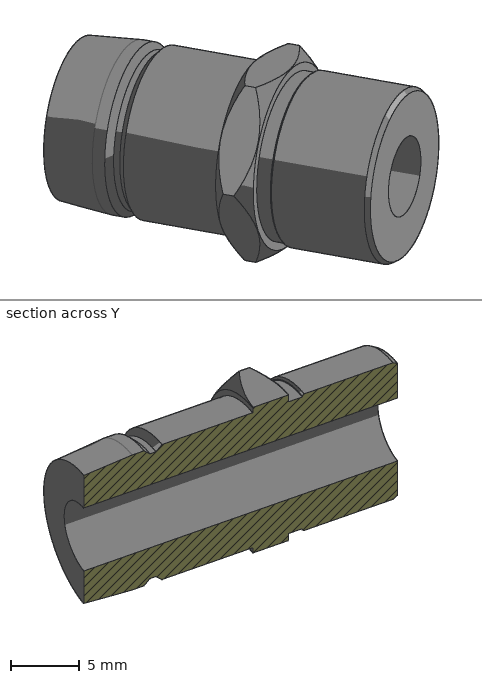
import cadquery as cq

length = 26.0
bore_diameter = 6.0

body_radius = 6.5
nose_radius = 6.15
nose_length = 4.0
groove_start = 5.0
groove_depth = 0.5
groove_floor_width = 0.5

hex_start = 14.0
hex_width = 3.0
hex_across_corners = 16.17
hex_chamfer_radius = 6.97
hex_chamfer_length = 1.07

neck_radius = 6.35
barrel_start = 18.1
barrel_radius = 6.58
barrel_front_chamfer = 0.15
barrel_rear_chamfer_length = 0.4
barrel_rear_chamfer_depth = 0.23

hex_end = hex_start + hex_width
hex_corner_radius = hex_across_corners / 2
groove_radius = body_radius - groove_depth
groove_floor_start = groove_start + groove_depth
groove_floor_end = groove_floor_start + groove_floor_width
groove_end = groove_floor_end + groove_depth


def turned_solid(profile):
    """Revolve a closed (x, radius) profile about the X axis."""
    return cq.Workplane("XZ").polyline(profile).close().revolve(360, (0, 0, 0), (1, 0, 0))


def turned_shaft():
    """Nose, grooved body, neck and chamfered barrel."""
    return turned_solid([
        (0, 0),
        (0, nose_radius),
        (nose_length, body_radius),
        (groove_start, body_radius),
        (groove_floor_start, groove_radius),
        (groove_floor_end, groove_radius),
        (groove_end, body_radius),
        (hex_start, body_radius),
        (hex_start, neck_radius),
        (barrel_start, neck_radius),
        (barrel_start, barrel_radius - barrel_front_chamfer),
        (barrel_start + barrel_front_chamfer, barrel_radius),
        (length - barrel_rear_chamfer_length, barrel_radius),
        (length, barrel_radius - barrel_rear_chamfer_depth),
        (length, 0),
    ])


def hex_collar():
    """Hexagon with flats at top and bottom, its corners turned down conically at both ends."""
    prism = (
        cq.Workplane("YZ", origin=(hex_start, 0, 0))
        .polygon(6, hex_across_corners)
        .extrude(hex_width)
    )
    envelope = turned_solid([
        (hex_start, 0),
        (hex_start, hex_chamfer_radius),
        (hex_start + hex_chamfer_length, hex_corner_radius),
        (hex_end - hex_chamfer_length, hex_corner_radius),
        (hex_end, hex_chamfer_radius),
        (hex_end, 0),
    ])
    return prism.intersect(envelope)


bore = cq.Workplane("YZ").circle(bore_diameter / 2).extrude(length)

result = turned_shaft().union(hex_collar()).cut(bore)